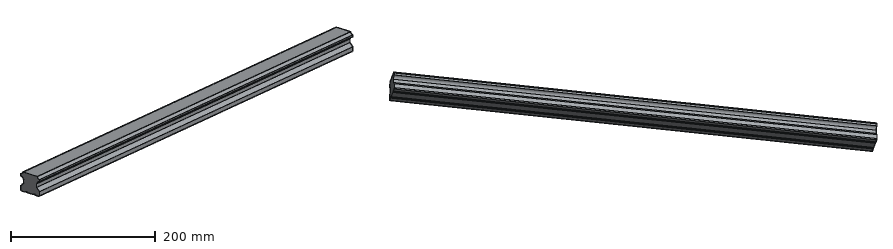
import cadquery as cq

length = 680.0
width = 34.0
height = 29.0

top_half_width = 13.0
lip_inset = 0.35
ball_groove_radius = 5.0

neck_half_width = 13.0
neck_inset = 1.0

foot_chamfer = 1.5

strip_setback = 0.2
groove_outer = 9.0
groove_inner = 6.0
groove_depth = 1.0
groove_wall_run = 0.35

half_width = width / 2
lip_corner = half_width - lip_inset
web_half_width = neck_half_width - neck_inset

top = height / 2
upper_groove_top = 14.0
lip_top = 11.0
lip_bottom = 9.0
lower_groove_top = 7.5
lower_groove_bottom = 5.5
web_top = 3.5
web_bottom = -1.9
foot_shoulder = web_bottom - (half_width - web_half_width)
bottom = -height / 2
groove_roof = bottom + groove_depth
strip_level = bottom + strip_setback


def half_section():
    """Outline of the +X half of the rail, closed along the centre plane."""
    head = (
        cq.Workplane("XZ")
        .moveTo(0, top)
        .lineTo(top_half_width, top)
        .lineTo(top_half_width, upper_groove_top)
        .radiusArc((half_width, lip_top), -ball_groove_radius)
        .lineTo(half_width, lip_bottom)
        .lineTo(lip_corner, lower_groove_top)
        .radiusArc((neck_half_width, lower_groove_bottom), -ball_groove_radius)
    )
    web_and_foot = (
        head.lineTo(web_half_width, web_top)
        .lineTo(web_half_width, web_bottom)
        .lineTo(half_width, foot_shoulder)
        .lineTo(half_width, bottom + foot_chamfer)
        .lineTo(half_width - foot_chamfer, bottom)
    )
    mounting_face = (
        web_and_foot.lineTo(groove_outer, bottom)
        .lineTo(groove_outer - groove_wall_run, groove_roof)
        .lineTo(groove_inner + groove_wall_run, groove_roof)
        .lineTo(groove_inner, strip_level)
        .lineTo(0, strip_level)
    )
    return mounting_face.close()


half_rail = half_section().extrude(length / 2, both=True)
result = half_rail.union(half_rail.mirror("YZ")).clean()